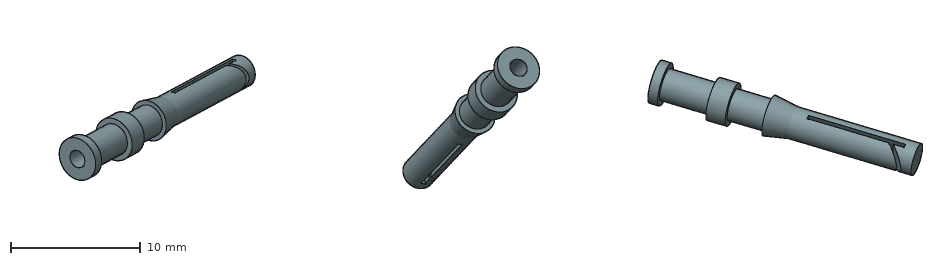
import cadquery as cq
import math

length = 21.6
shaft_radius = 1.3
flange_radius = 1.75
cone_radius = 1.66
flange_end = 0.8
collar_start = 4.8
collar_end = 6.4
cone_start = 9.4
cone_end = 11.4

wire_hole_radius = 0.71
wire_hole_depth = collar_start

slot_width = 0.32
slot_start = 12.6
slot_end = 20.6
slit_width = 0.25
slit_root = 19.38
slit_angle = 43.0
slit_length = 2 * shaft_radius / math.cos(math.radians(slit_angle))
cut_height = 4 * shaft_radius


def turned_body():
    """Revolve the stepped half outline (radius, Y) about the Y axis."""
    outline = [
        (0, 0),
        (flange_radius, 0),
        (flange_radius, flange_end),
        (shaft_radius, flange_end),
        (shaft_radius, collar_start),
        (flange_radius, collar_start),
        (flange_radius, collar_end),
        (shaft_radius, collar_end),
        (shaft_radius, cone_start),
        (cone_radius, cone_start),
        (shaft_radius, cone_end),
        (shaft_radius, length),
        (0, length),
    ]
    return cq.Workplane("XY").polyline(outline).close().revolve(360, (0, 0), (0, 1))


def wire_hole():
    return cq.Workplane("XZ").circle(wire_hole_radius).extrude(-wire_hole_depth)


def lengthwise_slot():
    slot_length = slot_end - slot_start
    slot_middle = (slot_start + slot_end) / 2
    return cq.Workplane("XY").box(slot_width, slot_length, cut_height).translate((0, slot_middle, 0))


def slanted_slit():
    slit = cq.Workplane("XY").box(slit_length, slit_width, cut_height, centered=(False, True, True))
    return slit.rotate((0, 0, 0), (0, 0, 1), slit_angle).translate((0, slit_root, 0))


result = turned_body().cut(wire_hole()).cut(lengthwise_slot()).cut(slanted_slit())